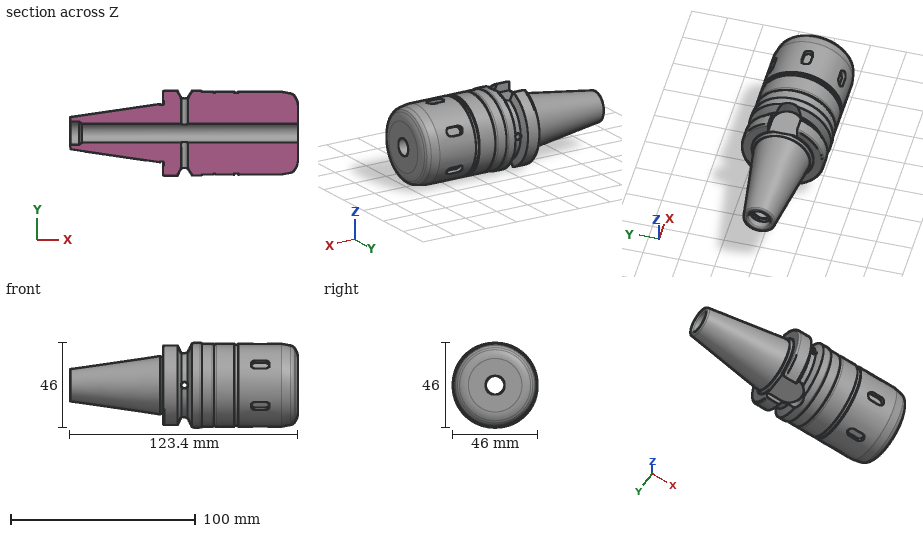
import cadquery as cq
import math

length = 123.4

taper_ratio = 7 / 24
gauge_diameter = 31.7
taper_end = 48.6
tip_diameter = gauge_diameter - taper_end * taper_ratio
tip_round = 0.9
neck_start = 49.0
neck_diameter = 30.8
neck_round = 1.1

flange_start = 50.2
flange_diameter = 46.0
flange_end = 58.1
edge_round = 1.0
face_recess_diameter = 34.5
face_recess_depth = 0.5
groove_floor_start = 60.2
groove_floor_end = 63.5
groove_diameter = 38.0
collar_start = 66.0
collar_end = 70.3
collar_round = 1.5

body_diameter = 45.0
seam_station = 78.0
seam_round = 1.1
relief_start = 88.7
relief_end = 91.1
relief_diameter = 44.0
relief_wall_run = 0.2
nose_taper_start = 114.3
nose_round_start = 119.2
nose_round_start_diameter = 43.2
nose_flat_start = 121.3
nose_flat_start_diameter = 40.7
nose_flat_end = 122.0
nose_flat_end_diameter = 38.5
nose_outer_radius = 4.0
nose_face_diameter = 29.0

mouth_round = 0.9
pilot_diameter = 12.5
pilot_depth = 4.9
thread_mouth_diameter = 12.0
thread_diameter = 10.5
thread_chamfer_run = 1.2
thread_end = 6.4
through_diameter = 10.0

keyway_width = 16.2
keyway_end = 67.3
keyway_floor = 16.3

cross_hole_station = 62.0
cross_hole_diameter = 3.5
cross_hole_mouth_diameter = 4.0
cross_hole_chamfer = (cross_hole_mouth_diameter - cross_hole_diameter) / 2

slot_count = 6
slot_start = 97.9
slot_end = 108.0
slot_width = 5.0
slot_floor = 19.9


def make_body():
    """Revolve the outer outline of taper, flange and nut."""
    tip_radius = tip_diameter / 2
    tip_round_radius = tip_radius + tip_round * taper_ratio / 2
    gauge_radius = gauge_diameter / 2
    neck_radius = neck_diameter / 2
    flange_radius = flange_diameter / 2
    groove_radius = groove_diameter / 2
    body_radius = body_diameter / 2
    relief_radius = relief_diameter / 2
    recess_station = flange_start + face_recess_depth

    collar_drop = flange_radius - body_radius
    collar_round_run = math.sqrt(collar_round**2 - (collar_round - collar_drop)**2)

    inner_run = length - nose_flat_end
    inner_drop = (nose_flat_end_diameter - nose_face_diameter) / 2
    nose_inner_radius = (inner_run**2 + inner_drop**2) / (2 * inner_run)

    outline = (
        cq.Workplane("XY")
        .moveTo(0, 0)
        .lineTo(0, tip_round_radius - tip_round)
        .radiusArc((tip_round, tip_round_radius), tip_round)
        .lineTo(taper_end, gauge_radius)
        .lineTo(neck_start, neck_radius)
        .lineTo(recess_station - neck_round, neck_radius)
        .radiusArc((recess_station, neck_radius + neck_round), -neck_round)
        .lineTo(recess_station, face_recess_diameter / 2)
        .lineTo(flange_start, face_recess_diameter / 2)
        .lineTo(flange_start, flange_radius - edge_round)
        .radiusArc((flange_start + edge_round, flange_radius), edge_round)
        .lineTo(flange_end, flange_radius)
        .lineTo(groove_floor_start, groove_radius)
        .lineTo(groove_floor_end, groove_radius)
        .lineTo(collar_start, flange_radius)
        .lineTo(collar_end, flange_radius)
        .radiusArc((collar_end + collar_round_run, body_radius), collar_round)
        .lineTo(seam_station - seam_round, body_radius)
        .radiusArc((seam_station, body_radius - seam_round), seam_round)
        .radiusArc((seam_station + seam_round, body_radius), seam_round)
        .lineTo(relief_start, body_radius)
        .lineTo(relief_start + relief_wall_run, relief_radius)
        .lineTo(relief_end - relief_wall_run, relief_radius)
        .lineTo(relief_end, body_radius)
        .lineTo(nose_taper_start, body_radius)
        .lineTo(nose_round_start, nose_round_start_diameter / 2)
        .radiusArc((nose_flat_start, nose_flat_start_diameter / 2), nose_outer_radius)
        .lineTo(nose_flat_end, nose_flat_end_diameter / 2)
        .radiusArc((length, nose_face_diameter / 2), nose_inner_radius)
        .lineTo(length, 0)
        .close()
    )
    return outline.revolve(360, (0, 0, 0), (1, 0, 0))


def make_bore():
    """Revolve the stepped bore that runs the full length."""
    outline = (
        cq.Workplane("XY")
        .moveTo(0, 0)
        .lineTo(0, pilot_diameter / 2 + mouth_round)
        .radiusArc((mouth_round, pilot_diameter / 2), -mouth_round)
        .lineTo(pilot_depth, pilot_diameter / 2)
        .lineTo(pilot_depth, thread_mouth_diameter / 2)
        .lineTo(pilot_depth + thread_chamfer_run, thread_diameter / 2)
        .lineTo(thread_end, thread_diameter / 2)
        .lineTo(thread_end, through_diameter / 2)
        .lineTo(length, through_diameter / 2)
        .lineTo(length, 0)
        .close()
    )
    return outline.revolve(360, (0, 0, 0), (1, 0, 0))


def make_keyway():
    """Flat-floored keyway on +Z, open towards the taper and round at its far end."""
    half_width = keyway_width / 2
    return (
        cq.Workplane("XY", origin=(0, 0, keyway_floor))
        .moveTo(taper_end, -half_width)
        .lineTo(keyway_end - half_width, -half_width)
        .threePointArc((keyway_end, 0), (keyway_end - half_width, half_width))
        .lineTo(taper_end, half_width)
        .close()
        .extrude(flange_diameter / 2)
    )


def make_spanner_slot():
    """Blind round-ended slot on +Z, running along the nut."""
    return (
        cq.Workplane("XY", origin=((slot_start + slot_end) / 2, 0, slot_floor))
        .slot2D(slot_end - slot_start, slot_width)
        .extrude(body_diameter / 2)
    )


def make_cross_hole():
    """Hole across the groove with a small chamfer at both mouths."""
    hole_radius = cross_hole_diameter / 2
    mouth_radius = cross_hole_mouth_diameter / 2
    mouth = groove_diameter / 2
    half = (
        cq.Workplane("XY", origin=(cross_hole_station, 0, 0))
        .moveTo(0, 0)
        .lineTo(hole_radius, 0)
        .lineTo(hole_radius, mouth - cross_hole_chamfer)
        .lineTo(mouth_radius, mouth)
        .lineTo(mouth_radius, flange_diameter / 2)
        .lineTo(0, flange_diameter / 2)
        .close()
        .revolve(360, (0, 0, 0), (0, 1, 0))
    )
    return half.union(half.mirror("XZ"))


def turned(tool, angle):
    """Turn a tool about the X axis by an angle in degrees."""
    return tool.rotate((0, 0, 0), (1, 0, 0), angle)


result = make_body().cut(make_bore()).cut(make_cross_hole())

keyway = make_keyway()
for angle in (0, 180):
    result = result.cut(turned(keyway, angle))

spanner_slot = make_spanner_slot()
for index in range(slot_count):
    result = result.cut(turned(spanner_slot, index * 360 / slot_count))